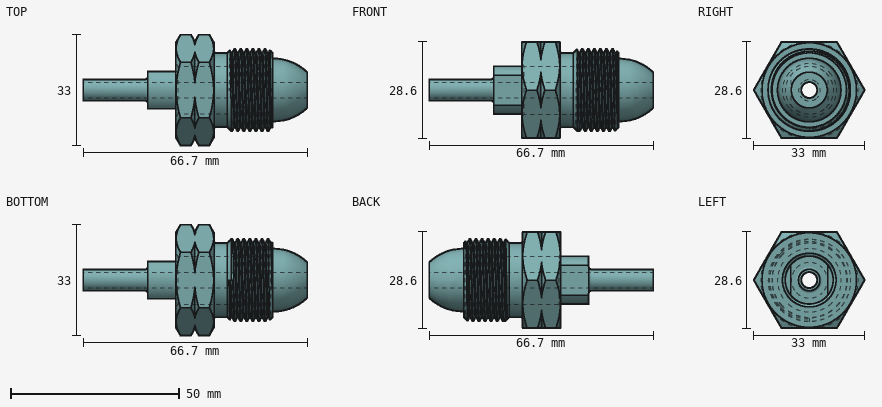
import cadquery as cq
import math


overall_length = 66.7
tube_radius = 3.2
bore_radius = 2.35
tube_length = 19.2
tube_fillet = 0.8
stem_radius = 7.15
flats_across = 11.15
nose_length = 10.35
nose_base_radius = 9.5
nose_tip_radius = 5.35

hex_sides = 6
hex_across_flats = 28.6
hex_start = 27.55
hex_length = 11.4
hex_face_radius = 14.1
hex_chamfer_angle = 30.0
hex_groove_radius = 14.5
neck_radius = 11.1
neck_length = 3.95
neck_fillet = 0.55
countersink_radius = 8.0
countersink_depth = 0.6

thread_radius = 12.3
thread_root_radius = 11.2
thread_pitch = 1.8
thread_root_width = 0.4
thread_crest_width = 0.3
thread_run_in = 0.9
cutter_overlap = 0.15

hex_end = hex_start + hex_length
hex_middle = hex_start + hex_length / 2
hex_corner_radius = hex_across_flats / 2 / math.cos(math.pi / hex_sides)
thread_start = hex_end + neck_length
nose_start = overall_length - nose_length
thread_chamfer = thread_radius - neck_radius
groove_end = nose_start + thread_pitch
blank_end = groove_end + thread_pitch
flats_end = hex_start + countersink_depth


def revolve_about_x(profile):
    """Turn a closed XY profile, with Y as the radius, around the X axis."""
    return profile.close().revolve(360, (0, 0, 0), (1, 0, 0))


def cylinder_along_x(start, end, radius):
    return cq.Workplane("YZ", origin=(start, 0, 0)).circle(radius).extrude(end - start)


def nose_arc_middle():
    """Point on the nose arc halfway along the nose; the arc's centre lies in the base plane."""
    drop = nose_base_radius - nose_tip_radius
    arc_radius = (nose_length**2 + drop**2) / (2 * drop)
    half_length = nose_length / 2
    middle_drop = arc_radius - math.sqrt(arc_radius**2 - half_length**2)
    return (nose_start + half_length, nose_base_radius - middle_drop)


def make_nose():
    """Bullet nose: an arc that leaves its base parallel to the axis."""
    return revolve_about_x(
        cq.Workplane("XY")
        .moveTo(nose_start, 0)
        .lineTo(nose_start, nose_base_radius)
        .threePointArc(nose_arc_middle(), (overall_length, nose_tip_radius))
        .lineTo(overall_length, 0)
    )


def make_nipple():
    """Bored nipple: tube, stem with two flats facing +Y and -Y, round stem and nose."""
    tube = cylinder_along_x(0, tube_length, tube_radius)
    flatted_stem = cylinder_along_x(tube_length, flats_end, stem_radius).intersect(
        cq.Workplane("YZ", origin=(tube_length, 0, 0))
        .rect(flats_across, 2 * stem_radius)
        .extrude(flats_end - tube_length)
    )
    round_stem = cylinder_along_x(flats_end, nose_start, stem_radius)
    root_x = tube_length - tube_fillet
    root_fillet = revolve_about_x(
        cq.Workplane("XY")
        .moveTo(root_x, 0)
        .lineTo(root_x, tube_radius)
        .radiusArc((tube_length, tube_radius + tube_fillet), -tube_fillet)
        .lineTo(tube_length, 0)
    )
    bore = cylinder_along_x(0, overall_length, bore_radius)
    return tube.union(root_fillet).union(flatted_stem).union(round_stem).union(make_nose()).cut(bore)


def make_hexagon():
    """Hexagon with corners on the Y axis, chamfered ends and a V groove cut around its corners."""
    hexagon = (
        cq.Workplane("YZ", origin=(hex_start, 0, 0))
        .polygon(hex_sides, 2 * hex_corner_radius)
        .extrude(hex_length)
    )
    slope = math.tan(math.radians(hex_chamfer_angle))
    chamfer_length = (hex_corner_radius - hex_face_radius) * slope
    groove_half_width = (hex_corner_radius - hex_groove_radius) * slope
    envelope = revolve_about_x(
        cq.Workplane("XY")
        .moveTo(hex_start, 0)
        .lineTo(hex_start, hex_face_radius)
        .lineTo(hex_start + chamfer_length, hex_corner_radius)
        .lineTo(hex_middle - groove_half_width, hex_corner_radius)
        .lineTo(hex_middle, hex_groove_radius)
        .lineTo(hex_middle + groove_half_width, hex_corner_radius)
        .lineTo(hex_end - chamfer_length, hex_corner_radius)
        .lineTo(hex_end, hex_face_radius)
        .lineTo(hex_end, 0)
    )
    return hexagon.intersect(envelope)


def make_threaded_blank():
    """Neck and thread cylinder with a 45 degree rise, overlong so that the groove can end inside it."""
    return revolve_about_x(
        cq.Workplane("XY")
        .moveTo(hex_end, 0)
        .lineTo(hex_end, neck_radius + neck_fillet)
        .radiusArc((hex_end + neck_fillet, neck_radius), -neck_fillet)
        .lineTo(thread_start, neck_radius)
        .lineTo(thread_start + thread_chamfer, thread_radius)
        .lineTo(blank_end, thread_radius)
        .lineTo(blank_end, 0)
    )


def make_end_trim():
    """Ring and disc that cut the overlong blank to length and chamfer its end at 45 degrees."""
    trim_radius = thread_radius + cutter_overlap
    return revolve_about_x(
        cq.Workplane("XY")
        .moveTo(nose_start, 0)
        .lineTo(nose_start, neck_radius)
        .lineTo(nose_start - thread_chamfer - cutter_overlap, trim_radius)
        .lineTo(blank_end + cutter_overlap, trim_radius)
        .lineTo(blank_end + cutter_overlap, 0)
    )


def make_thread_groove():
    """Right-hand helical cutter that starts at the -Z side and ends in the blank's spare length."""
    groove_start = thread_start + thread_run_in
    groove_length = groove_end - groove_start
    depth = thread_radius - thread_root_radius
    root_half = thread_root_width / 2
    crest_half = (thread_pitch - thread_crest_width) / 2
    outer_half = crest_half + (crest_half - root_half) * cutter_overlap / depth
    outer_radius = thread_radius + cutter_overlap
    path = cq.Wire.makeHelix(thread_pitch, groove_length, thread_root_radius)
    cutter = (
        cq.Workplane("XZ")
        .moveTo(thread_root_radius, root_half)
        .lineTo(outer_radius, outer_half)
        .lineTo(outer_radius, -outer_half)
        .lineTo(thread_root_radius, -root_half)
        .close()
        .sweep(cq.Workplane(path), isFrenet=True)
    )
    along_x = cutter.rotate((0, 0, 0), (1, 1, 1), 120)
    return along_x.rotate((0, 0, 0), (1, 0, 0), -90).translate((groove_start, 0, 0))


def make_nut():
    """Hexagon nut with a threaded end, bored and countersunk to fit the nipple stem."""
    countersink = revolve_about_x(
        cq.Workplane("XY")
        .moveTo(hex_start, 0)
        .lineTo(hex_start, countersink_radius)
        .lineTo(hex_start + countersink_depth, stem_radius)
        .lineTo(hex_start + countersink_depth, 0)
    )
    bore = cylinder_along_x(hex_start, nose_start, stem_radius)
    threaded_end = make_threaded_blank().cut(make_thread_groove()).cut(make_end_trim())
    return make_hexagon().union(threaded_end).cut(bore).cut(countersink)


nipple = make_nipple().solids()
nut = make_nut().solids()

result = cq.Compound.makeCompound([nipple.val(), nut.val()])